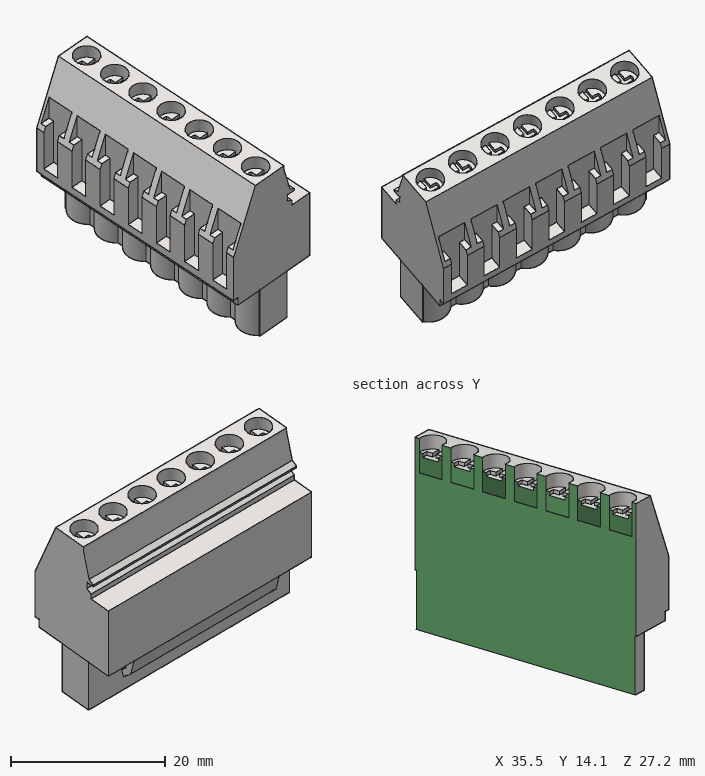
import cadquery as cq


pole_count = 7
pitch = 5.1
length = 35.55
pole_centres = [(i - (pole_count - 1) / 2) * pitch for i in range(pole_count)]

depth = 14.1
height = 18.85
front_bend_z = 8.9
top_front_y = 4.02
top_back_y = 9.3
top_back_lip = 0.57
front_step_y = 0.8
front_step_z = 1.28
shelf_z = 11.0

hook_root_y = 10.42
hook_root_z = 14.05
hook_tip_y = 11.25
hook_tip_z = 13.6
hook_under_z = 13.3
notch_y = 10.0
notch_low_z = 12.25
notch_wall_y = 10.8
notch_wall_z = 11.8

opening_depth = 1.8
slot_width = 2.45
slot_bottom_z = 2.52
funnel_width = 4.12
funnel_bottom_z = 9.7

plug_height = 8.35
plug_side_gap = 0.195
plug_back_y = 10.1
plug_flat_y = 5.05
plug_front_y = 4.1
pole_bulge_width = 4.3

latch_length = length - 2 * pitch
latch_root_y = (11.45, 13.48)
latch_points = [
    (13.45, -0.82),
    (12.87, -3.27),
    (11.45, -4.65),
    (11.1, -3.7),
    (11.8, -2.95),
    (11.8, -1.4),
    (11.45, -0.32),
]

screw_diameter = 3.65
screw_length = 2.85
screw_recess = 2.0
screw_y = (top_front_y + top_back_y) / 2
drive_depth = 0.55
long_slot_width = 0.57
short_slot_width = 0.82
short_slot_length = 2.52


def along_row(profile, row_length):
    """Extrude a closed Y-Z profile to the given length, centred on X = 0."""
    return profile.extrude(row_length / 2, both=True)


def make_shell():
    profile = (
        cq.Workplane("YZ")
        .moveTo(front_step_y, 0)
        .lineTo(front_step_y, front_step_z)
        .lineTo(0, front_step_z)
        .lineTo(0, front_bend_z)
        .lineTo(top_front_y, height)
        .lineTo(top_back_y, height)
        .lineTo(top_back_y, height - top_back_lip)
        .lineTo(hook_root_y, hook_root_z)
        .lineTo(hook_tip_y, hook_tip_z)
        .lineTo(hook_tip_y, hook_under_z)
        .lineTo(notch_y, hook_under_z)
        .lineTo(notch_y, notch_low_z)
        .lineTo(notch_wall_y, notch_wall_z)
        .lineTo(notch_wall_y, shelf_z)
        .lineTo(depth, shelf_z)
        .lineTo(depth, 0)
        .close()
    )
    return along_row(profile, length)


def make_plug():
    """Straight block whose front carries one shallow cylindrical bulge per pole."""
    half_length = length / 2 - plug_side_gap
    half_bulge = pole_bulge_width / 2
    outline = cq.Workplane("XY").moveTo(-half_length, plug_back_y).lineTo(-half_length, plug_flat_y)
    for x in pole_centres:
        outline = outline.lineTo(x - half_bulge, plug_flat_y)
        outline = outline.threePointArc((x, plug_front_y), (x + half_bulge, plug_flat_y))
    outline = outline.lineTo(half_length, plug_flat_y).lineTo(half_length, plug_back_y).close()
    return outline.extrude(-plug_height)


def make_latch():
    inner_y, outer_y = latch_root_y
    profile = cq.Workplane("YZ").polyline([(outer_y, 0), *latch_points, (inner_y, 0)]).close()
    return along_row(profile, latch_length)


def make_wire_opening(x):
    """T-shaped opening: a narrow slot below a wider funnel that runs out through the sloped front."""
    slot = cq.Workplane("XY").box(
        slot_width, opening_depth, height - slot_bottom_z, centered=(True, False, False)
    ).translate((x, 0, slot_bottom_z))
    funnel = cq.Workplane("XY").box(
        funnel_width, opening_depth, height - funnel_bottom_z, centered=(True, False, False)
    ).translate((x, 0, funnel_bottom_z))
    return slot.union(funnel)


def make_screw_hole(x):
    hole_depth = screw_recess + screw_length
    return (
        cq.Workplane("XY", origin=(x, screw_y, height))
        .circle(screw_diameter / 2)
        .extrude(-hole_depth)
    )


def make_housing():
    housing = make_shell().union(make_plug()).union(make_latch())
    for x in pole_centres:
        housing = housing.cut(make_wire_opening(x)).cut(make_screw_hole(x))
    return housing


def make_screw(x):
    """Plain cylinder with a cross drive: one full-width slot and one shorter, round-ended slot."""
    top = cq.Workplane("XY", origin=(x, screw_y, height - screw_recess))
    screw = top.circle(screw_diameter / 2).extrude(-screw_length)
    long_slot = top.rect(long_slot_width, screw_diameter).extrude(-drive_depth)
    short_slot = top.rect(short_slot_length, short_slot_width).extrude(-drive_depth)
    slot_ends = top.circle(short_slot_length / 2).extrude(-drive_depth)
    return screw.cut(long_slot).cut(short_slot.intersect(slot_ends))


housing = make_housing()
screws = [make_screw(x) for x in pole_centres]

result = cq.Compound.makeCompound([housing.val(), *[screw.val() for screw in screws]])